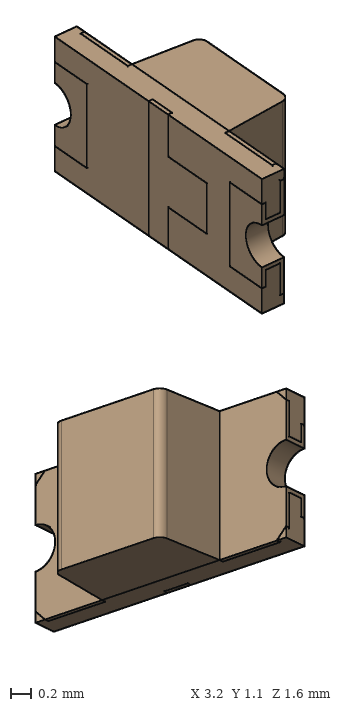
import cadquery as cq
import math

BOARD_LENGTH = 3.2
BOARD_HEIGHT = 1.6
BOARD_THICKNESS = 0.28
NOTCH_RADIUS = 0.25

PLATING = 0.05
CONTACT_PAD_LENGTH = 0.5
CONTACT_PAD_HEIGHT = 1.0
LENS_PAD_CHAMFER = 0.12

TOTAL_DEPTH = 1.1
LENS_LENGTH = 1.5
LENS_DEPTH = TOTAL_DEPTH - BOARD_THICKNESS
LENS_DRAFT = 5.0
LENS_EDGE_RADIUS = 0.1
LENS_PAD_LENGTH = (BOARD_LENGTH - LENS_LENGTH) / 2

MARK_DEPTH = 0.05
MARK_BAR_WIDTH = 0.3
MARK_ARM_END = 0.75
MARK_ARM_HEIGHT = 0.6


def block(x_start, x_end, y_start, y_end, height):
    """Box between the given X and Y limits, centred on Z = 0."""
    return cq.Workplane("XY").box(
        x_end - x_start, y_end - y_start, height, centered=(False, False, True)
    ).translate((x_start, y_start, 0))


def end_cylinder(side, radius):
    """Cylinder through the board thickness, centred on one end face."""
    return (
        cq.Workplane("XZ")
        .center(side * BOARD_LENGTH / 2, 0)
        .circle(radius)
        .extrude(-BOARD_THICKNESS)
    )


def make_blank():
    """Full board plate with a half-round notch in each end."""
    blank = block(-BOARD_LENGTH / 2, BOARD_LENGTH / 2, 0, BOARD_THICKNESS, BOARD_HEIGHT)
    for side in (-1, 1):
        blank = blank.cut(end_cylinder(side, NOTCH_RADIUS))
    return blank


def make_terminal(side, blank):
    """Contact pad and lens-side pad joined by the plating around the notch."""
    end = BOARD_LENGTH / 2
    contact_pad = block(end - CONTACT_PAD_LENGTH, end, 0, PLATING, CONTACT_PAD_HEIGHT)
    lens_pad = block(
        end - LENS_PAD_LENGTH, end, BOARD_THICKNESS - PLATING, BOARD_THICKNESS, BOARD_HEIGHT
    ).edges("|Y and >X").chamfer(LENS_PAD_CHAMFER)
    pads = contact_pad.union(lens_pad)
    if side < 0:
        pads = pads.mirror("YZ")
    sleeve = end_cylinder(side, NOTCH_RADIUS + PLATING)
    return pads.union(sleeve).intersect(blank)


def make_mark():
    """Full-height bar with an arm pointing toward +X."""
    bar = block(-MARK_BAR_WIDTH / 2, MARK_BAR_WIDTH / 2, 0, MARK_DEPTH, BOARD_HEIGHT)
    arm = block(0, MARK_ARM_END, 0, MARK_DEPTH, MARK_ARM_HEIGHT)
    return bar.union(arm)


def make_lens():
    """Full-height trapezoid with rounded outer edges."""
    base_half = LENS_LENGTH / 2
    top_half = base_half - LENS_DEPTH * math.tan(math.radians(LENS_DRAFT))
    return (
        cq.Workplane("XY")
        .polyline([
            (-base_half, BOARD_THICKNESS),
            (base_half, BOARD_THICKNESS),
            (top_half, TOTAL_DEPTH),
            (-top_half, TOTAL_DEPTH),
        ])
        .close()
        .extrude(BOARD_HEIGHT / 2, both=True)
        .edges("|Z and >Y")
        .fillet(LENS_EDGE_RADIUS)
    )


blank = make_blank()
terminals = [make_terminal(side, blank) for side in (-1, 1)]
mark = make_mark()
lens = make_lens()

board = blank.cut(mark)
for terminal in terminals:
    board = board.cut(terminal)

result = cq.Compound.makeCompound([
    board.solids().val(),
    *[terminal.solids().val() for terminal in terminals],
    mark.solids().val(),
    lens.solids().val(),
])